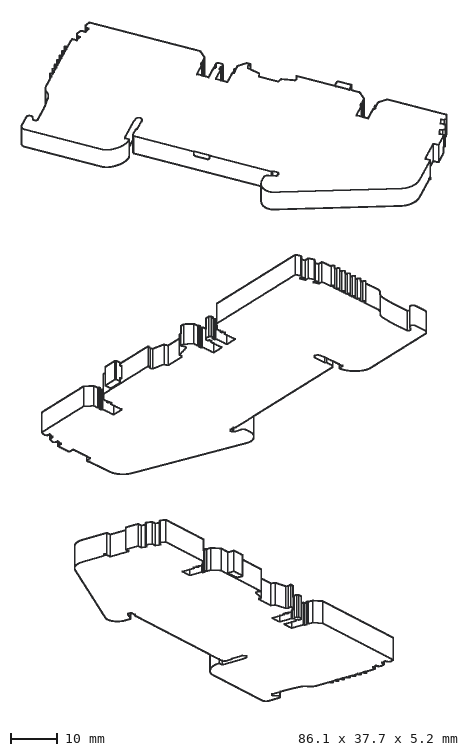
import cadquery as cq
import math

overall_length = 86.1
thickness = 5.2
left_edge = 0.6
right_edge = 85.8
top_edge = 36.1
rail_seat_y = 6.3
mirror_x = (left_edge + right_edge) / 2

foot_corner_radius = 1.0
foot_arc_start = 18.9
foot_arc_break = (21.35, 1.3)
foot_lower_arc_mid = (20.2, 0.4)
foot_upper_arc_mid = (22.6, 2.75)
foot_right = 23.2
foot_ledge_y = 5.0
foot_ledge_edge = 0.4

heel_height = 4.5
heel_corner_radius = 0.8
waist_x = 2.6
waist_lean = 0.1
waist_straight_bottom = 7.3
waist_lean_top = 9.0
waist_arc_bottom = (2.2, 11.3)
waist_lower_arc_mid = (1.9, 12.05)
waist_arc_break = (1.3, 12.65)
waist_upper_arc_mid = (0.8, 13.35)
waist_arc_top_y = 14.1
valley_end_y = 3.8
valley_bottom = (2.0, 3.45)
heel_tip = (1.5, 3.9)
heel_tip_arc_mid = (1.2, 4.3)

spring_slot_left = 22.0
spring_slot_right = 23.6
spring_slot_top = 12.05
spring_slot_arc_y = 11.5
slot_taper = 0.2
slot_taper_y = 10.4
seat_lip_x = 23.3
seat_lip_y = 8.35
seat_lip_ramp_y = 8.8
seat_chamfer = 0.35

hook_x = 56.9
hook_y = 2.9
hook_radius = 2.7
hook_throat_x = 56.8
throat_start_x = 55.2
throat_top = 6.55
throat_bottom = 5.4
throat_chamfer = 0.3
hook_lip = (55.1, 4.9)
hook_lip_arc_mid = (54.5, 4.65)
hook_side_top = 4.1
slope_angle = math.radians(22.9)
slope_end_x = 83.1

latch_step_x = 0.9
latch_step_y = 3.1
latch_count = 2
shoulder_lean = 0.1
shoulder_y = 29.2
latch_base_x = left_edge + shoulder_lean + (latch_count - 1) * latch_step_x
latch_base_y = 33.1
latch_notch_depth = 1.0
latch_notch_height = 1.2
latch_lean = 0.35
latch_tip_offset = 0.35
latch_tip_height = 1.8
latch_lip_offset = 0.7
latch_lip_height = 1.3
latch_top_x = 2.3

slot_floor = 29.1
slot_width = 2.7
slot_centers = (30.9, 35.2, 67.4)
post_top = 34.0
post_chamfer = 0.35
groove_bottom = 32.3
groove_top = 33.0
groove_depth = 0.35
mouth_step_y = 33.4
mouth_step = 0.3
flare_y = 34.5
flare = top_edge - flare_y

marker_x = 44.5
marker_floor = 33.1
marker_half_profile = [
    (5.25, top_edge),
    (5.6, 35.2),
    (5.4, 34.7),
    (2.5, 34.0),
    (2.2, marker_floor),
]

window_depth = 1.2
window_bottom = 21.6
window_top = 26.6

rib_count = 7
rib_first_y = 18.1
rib_last_y = 27.0
rib_pitch = (rib_last_y - rib_first_y) / (rib_count - 1)
rib_radius = 0.35

tab_left = 58.5
tab_right = 61.8
tab_top = 37.7
tab_bottom_z = 0.3
tab_top_z = 5.1
tab_corner = 0.3
tab_undercut_y = 36.5
tab_undercut = 0.3
tab_neck_flare = 0.1
tab_neck_bottom_z = 1.1
tab_neck_top_z = 4.4

pocket_left = 37.4
pocket_right = 41.0
pocket_height = 1.3
pocket_depth = 0.1
pocket_chamfer = 0.35

sill_height = 0.5
sill_depth = 0.1
nub_reach = overall_length - right_edge
nub_y = 21.1
nub_half_width = 0.35
nub_height = 0.35


def prism(points, bottom=0.0, top=thickness):
    """Closed polygon in XY, extruded from bottom to top."""
    return cq.Workplane("XY").workplane(offset=bottom).polyline(points).close().extrude(top - bottom)


def block(x_range, y_range, z_range):
    """Axis-aligned box given by its limits."""
    corners = [(x_range[0], y_range[0]), (x_range[1], y_range[0]),
               (x_range[1], y_range[1]), (x_range[0], y_range[1])]
    return prism(corners, *z_range)


def mirrored(points, axis_x):
    """The points reflected about a vertical line, in reverse order."""
    return [(2 * axis_x - x, y) for x, y in reversed(points)]


def latch_profile():
    """Stepped left corner, from the top edge down to the left edge."""
    points = [(latch_top_x, top_edge)]
    for step in range(latch_count):
        x = latch_base_x - step * latch_step_x
        y = latch_base_y - step * latch_step_y
        points += [
            (x + latch_tip_offset, y + latch_tip_height),
            (x + latch_lip_offset, y + latch_lip_height),
            (x + latch_notch_depth + latch_lean, y + latch_notch_height),
            (x + latch_notch_depth, y),
            (x, y),
        ]
    points.append((left_edge, shoulder_y))
    return points


def make_body():
    slope_start = (
        hook_x + hook_radius * math.sin(slope_angle),
        hook_y - hook_radius * math.cos(slope_angle),
    )
    slope_end = (
        slope_end_x,
        slope_start[1] + (slope_end_x - slope_start[0]) * math.tan(slope_angle),
    )
    corner_rise = (right_edge - slope_end_x) * math.tan(slope_angle)
    corner_tangent = (right_edge - slope_end_x) / math.cos(slope_angle)
    corner_top_y = slope_end[1] + corner_rise + corner_tangent

    diagonal = math.sqrt(0.5)
    left_latch = latch_profile()
    right_latch = mirrored(left_latch, mirror_x)
    slot_mid_x = (spring_slot_left + spring_slot_right) / 2

    outline = (
        cq.Workplane("XY")
        .moveTo(foot_corner_radius, 0)
        .lineTo(foot_arc_start, 0)
        .threePointArc(foot_lower_arc_mid, foot_arc_break)
        .threePointArc(foot_upper_arc_mid, (foot_right, foot_ledge_y - foot_ledge_edge))
        .lineTo(foot_right, foot_ledge_y)
        .lineTo(spring_slot_left, foot_ledge_y)
        .lineTo(spring_slot_left, slot_taper_y)
        .lineTo(spring_slot_left + slot_taper, spring_slot_arc_y)
        .threePointArc((slot_mid_x, spring_slot_top), (spring_slot_right, spring_slot_arc_y))
        .lineTo(spring_slot_right, seat_lip_ramp_y)
        .lineTo(seat_lip_x, seat_lip_y)
        .lineTo(seat_lip_x, rail_seat_y + seat_chamfer)
        .lineTo(seat_lip_x + seat_chamfer, rail_seat_y)
        .lineTo(throat_start_x, rail_seat_y)
        .lineTo(throat_start_x + throat_chamfer, throat_top)
        .lineTo(hook_throat_x - throat_chamfer, throat_top)
        .lineTo(hook_throat_x, throat_top - throat_chamfer)
        .lineTo(hook_throat_x, throat_bottom + throat_chamfer)
        .lineTo(hook_throat_x - throat_chamfer, throat_bottom)
        .lineTo(*hook_lip)
        .threePointArc(hook_lip_arc_mid, (hook_x - hook_radius, hook_side_top))
        .lineTo(hook_x - hook_radius, hook_y)
        .threePointArc(
            (hook_x - hook_radius * diagonal, hook_y - hook_radius * diagonal),
            slope_start,
        )
        .lineTo(*slope_end)
        .tangentArcPoint((right_edge, corner_top_y), relative=False)
        .lineTo(*right_latch[0])
    )
    for point in right_latch[1:] + left_latch:
        outline = outline.lineTo(*point)
    outline = (
        outline
        .lineTo(left_edge, waist_arc_top_y)
        .threePointArc(waist_upper_arc_mid, waist_arc_break)
        .threePointArc(waist_lower_arc_mid, waist_arc_bottom)
        .lineTo(waist_x - waist_lean, waist_lean_top)
        .lineTo(waist_x, waist_straight_bottom)
        .lineTo(waist_x, valley_end_y)
        .threePointArc(valley_bottom, heel_tip)
        .threePointArc(heel_tip_arc_mid, (heel_corner_radius, heel_height))
        .threePointArc(
            (heel_corner_radius * (1 - diagonal), heel_height - heel_corner_radius * (1 - diagonal)),
            (0, heel_height - heel_corner_radius),
        )
        .lineTo(0, foot_corner_radius)
        .tangentArcPoint((foot_corner_radius, 0), relative=False)
        .close()
    )
    return outline.extrude(thickness)


def slot_wall(wall_x, outward, flared):
    """Wall of a bridge slot from floor to top; outward is the direction into the material."""
    offsets = [
        (0, slot_floor),
        (0, groove_bottom),
        (groove_depth, groove_bottom),
        (groove_depth, groove_top),
        (0, groove_top),
    ]
    if flared:
        offsets += [
            (0, mouth_step_y),
            (mouth_step, mouth_step_y),
            (mouth_step, flare_y),
            (mouth_step + flare, top_edge),
        ]
    else:
        offsets += [
            (0, post_top - post_chamfer),
            (post_chamfer, post_top),
            (post_chamfer, top_edge),
        ]
    return [(wall_x + outward * offset, y) for offset, y in offsets]


def bridge_slot(center, left_flared, right_flared):
    left = slot_wall(center - slot_width / 2, -1, left_flared)
    right = slot_wall(center + slot_width / 2, 1, right_flared)
    return prism(left + right[::-1])


def make_bridge_slots():
    first, second, third = slot_centers
    above_post = block((first, second), (post_top, top_edge), (0, thickness))
    return (
        bridge_slot(first, True, False)
        .union(bridge_slot(second, False, True))
        .union(bridge_slot(third, True, True))
        .union(above_post)
    )


def make_marker_recess():
    right = [(marker_x + offset, y) for offset, y in marker_half_profile]
    return prism(right + mirrored(right, marker_x))


def make_window():
    return block((right_edge - window_depth, right_edge), (window_bottom, window_top), (0, thickness))


def make_rib(index):
    y = rib_first_y + index * rib_pitch
    return cq.Workplane("XY").center(rib_radius, y).circle(rib_radius).extrude(thickness)


def make_tab():
    tab = prism([
        (tab_left, top_edge),
        (tab_right, top_edge),
        (tab_right, tab_top),
        (tab_left + tab_corner, tab_top),
        (tab_left, tab_top - tab_corner),
    ], tab_bottom_z, tab_top_z)
    undercut = [(tab_left, tab_undercut_y), (tab_left, top_edge), (tab_left + tab_undercut, top_edge)]
    tab = tab.cut(prism(undercut, 0, tab_neck_bottom_z))
    tab = tab.cut(prism(undercut, tab_neck_top_z, thickness))
    neck = prism([
        (tab_left, tab_undercut_y),
        (tab_left - tab_neck_flare, top_edge),
        (tab_right, top_edge),
    ], tab_neck_bottom_z, tab_neck_top_z)
    return tab.union(neck)


def make_seat_pocket():
    pocket = block(
        (pocket_left, pocket_right),
        (rail_seat_y, rail_seat_y + pocket_depth),
        (thickness - pocket_height, thickness),
    )
    return pocket.edges("|Y and <Z").chamfer(pocket_chamfer)


def make_latch_sill(step):
    """Thin strip along the bottom of one left latch notch."""
    x = latch_base_x + latch_notch_depth - step * latch_step_x
    y = latch_base_y - step * latch_step_y
    return prism([
        (x - sill_depth, y),
        (x, y),
        (x + latch_lean, y + latch_notch_height),
        (x + latch_lean - sill_depth, y + latch_notch_height),
    ], 0, sill_height)


def make_nub():
    return prism([
        (right_edge, nub_y - nub_half_width),
        (right_edge + nub_reach, nub_y),
        (right_edge, nub_y + nub_half_width),
        (right_edge - nub_half_width, nub_y),
    ], 0, nub_height)


result = make_body()
result = result.cut(make_bridge_slots()).cut(make_marker_recess())
result = result.cut(make_window()).cut(make_seat_pocket())
for rib_index in range(rib_count):
    result = result.union(make_rib(rib_index))
for latch_index in range(latch_count):
    result = result.union(make_latch_sill(latch_index))
result = result.union(make_tab()).union(make_nub())